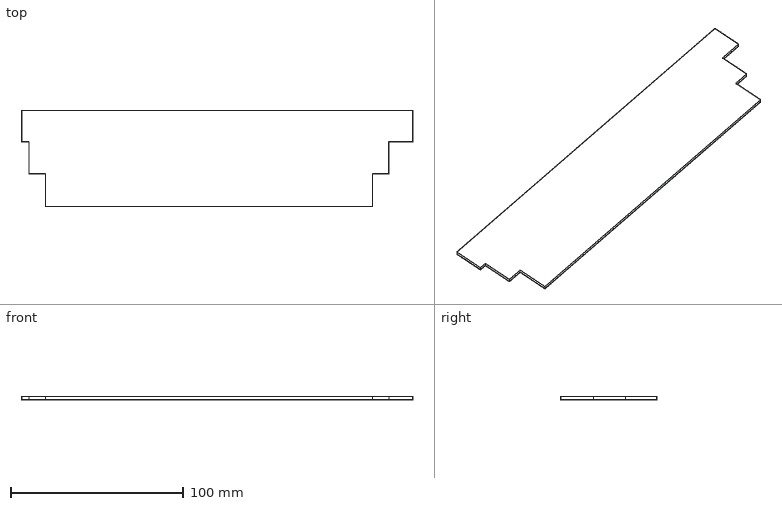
import cadquery as cq

length = 227.35
width = 55.9
thickness = 2.0

front_band_width = 19.1
middle_band_width = 18.6

left_middle_setback = 4.35
right_middle_setback = 14.0
end_step = 9.5

left = -length / 2
right = length / 2
front = -width / 2
back = width / 2

middle_left = left + left_middle_setback
middle_right = right - right_middle_setback
front_left = middle_left + end_step
front_right = middle_right - end_step

front_shoulder = front + front_band_width
back_shoulder = front_shoulder + middle_band_width

outline = [
    (left, back),
    (left, back_shoulder),
    (middle_left, back_shoulder),
    (middle_left, front_shoulder),
    (front_left, front_shoulder),
    (front_left, front),
    (front_right, front),
    (front_right, front_shoulder),
    (middle_right, front_shoulder),
    (middle_right, back_shoulder),
    (right, back_shoulder),
    (right, back),
]

result = cq.Workplane("XY").polyline(outline).close().extrude(thickness)